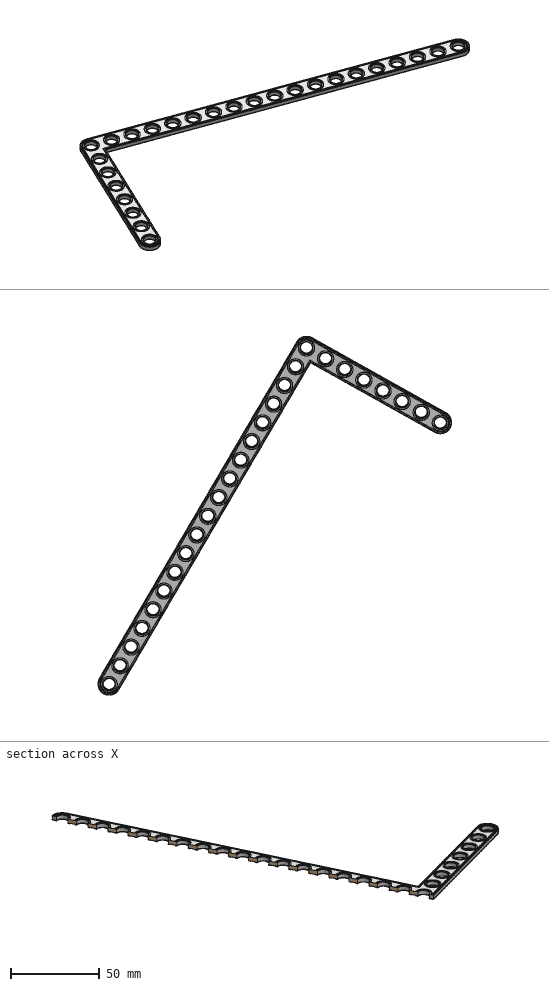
import cadquery as cq

overall_length = 237.5
long_arm_holes = 19
short_arm_holes = 8
thickness = 3.0
hole_diameter = 7.0
ring_diameter = 9.3
rim_width = 1.07
recess_depth = 0.2
edge_chamfer = 0.3

pitch = overall_length / long_arm_holes
bar_width = pitch


def rounded_bar(hole_count, width, height):
    """Round-ended bar along +X whose first hole centre is the origin."""
    span = (hole_count - 1) * pitch
    return (
        cq.Workplane("XY")
        .center(span / 2, 0)
        .slot2D(span + width, width)
        .extrude(height)
    )


def l_shape(width, height):
    """Two bars along +X and +Y that share the corner hole at the origin."""
    short_arm = rounded_bar(short_arm_holes, width, height)
    long_arm = rounded_bar(long_arm_holes, width, height).rotate((0, 0, 0), (0, 0, 1), 90)
    return short_arm.union(long_arm)


def discs(diameter, height):
    """One disc at every hole centre, with the corner hole counted once."""
    centres = [(i * pitch, 0) for i in range(short_arm_holes)]
    centres += [(0, i * pitch) for i in range(1, long_arm_holes)]
    return cq.Workplane("XY").pushPoints(centres).circle(diameter / 2).extrude(height)


plate = l_shape(bar_width, thickness).cut(discs(hole_diameter, thickness))
plate = plate.faces("<Z or >Z").edges().chamfer(edge_chamfer)

recess_width = bar_width - 2 * rim_width
bottom_recess = l_shape(recess_width, recess_depth).cut(discs(ring_diameter, recess_depth))
top_recess = bottom_recess.translate((0, 0, thickness - recess_depth))

result = plate.cut(bottom_recess).cut(top_recess)